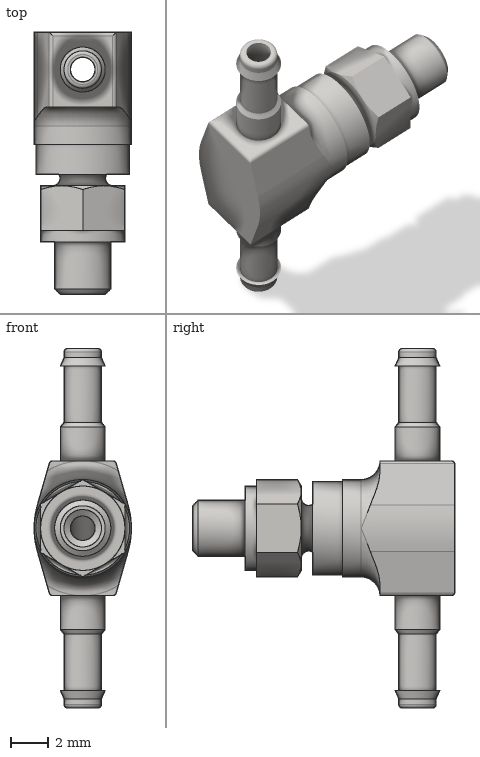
import cadquery as cq
import math


BODY_HALF_WIDTH = 2.6
BODY_HALF_HEIGHT = 3.6
BODY_BACK_Y = 2.0
BODY_FRONT_Y = -2.0
FLANK_ANGLE = math.radians(16)
FLANK_ARC_RADIUS = 4.5
BODY_EDGE_FILLET = 0.2

BLEND_RADIUS = 1.0
COLLAR_RADIUS = BODY_HALF_WIDTH
COLLAR_LENGTH = 1.0
SPIGOT_RADIUS = 2.5
SPIGOT_LENGTH = 1.6

NECK_RADIUS = 1.22
NECK_LENGTH = 0.6
NECK_ARC_RADIUS = 0.4
NUT_FLATS = 4.5
NUT_LENGTH = 2.4
NUT_CHAMFER_ANGLE = math.radians(30)
WASHER_LENGTH = 0.6
STUD_RADIUS = 1.5
STUD_END_Y = -12.0
STUD_CHAMFER = 0.3
COUNTERSINK_RADIUS = 1.0

STEM_RADIUS = 1.0
STEM_END_Z = 9.6
STEM_TIP_FILLET = 0.2
SHOULDER_RADIUS = 1.2
SHOULDER_LENGTH = 1.8
SHOULDER_TAPER_LENGTH = 0.25
BARB_RADIUS = 1.2
BARB_BASE_Z = 8.65
BARB_TOP_Z = 9.1

BORE_RADIUS = 0.65

BLEND_END_Y = BODY_FRONT_Y - BLEND_RADIUS
COLLAR_END_Y = BLEND_END_Y - COLLAR_LENGTH
SPIGOT_END_Y = COLLAR_END_Y - SPIGOT_LENGTH
NUT_BACK_Y = SPIGOT_END_Y - NECK_LENGTH
NUT_FRONT_Y = NUT_BACK_Y - NUT_LENGTH
WASHER_END_Y = NUT_FRONT_Y - WASHER_LENGTH

NUT_INRADIUS = NUT_FLATS / 2
HEXAGON_SIDES = 6
NUT_CIRCUMRADIUS = NUT_INRADIUS / math.cos(math.pi / HEXAGON_SIDES)

ARC_MIDPOINT = math.sqrt(0.5)


def prism_along_y(outline, start_y, end_y):
    """Extrude an XZ outline from start_y down to the smaller end_y."""
    return outline.extrude(start_y - end_y).translate((0, start_y, 0))


def cylinder_along_y(radius, start_y, end_y):
    return prism_along_y(cq.Workplane("XZ").circle(radius), start_y, end_y)


def revolve_about_y(profile):
    """Revolve an XY profile, drawn as (radius, y), around the swivel axis."""
    return profile.close().revolve(360, (0, 0, 0), (0, 1, 0))


def barrel_prism(start_y, end_y):
    """Prism with flat ends in Z and bulged sides: an arc running into two straight flanks."""
    arc_end_z = FLANK_ARC_RADIUS * math.sin(FLANK_ANGLE)
    arc_end_x = BODY_HALF_WIDTH - FLANK_ARC_RADIUS * (1 - math.cos(FLANK_ANGLE))
    end_half_width = arc_end_x - (BODY_HALF_HEIGHT - arc_end_z) * math.tan(FLANK_ANGLE)
    outline = (
        cq.Workplane("XZ")
        .moveTo(-end_half_width, BODY_HALF_HEIGHT)
        .lineTo(end_half_width, BODY_HALF_HEIGHT)
        .lineTo(arc_end_x, arc_end_z)
        .threePointArc((BODY_HALF_WIDTH, 0), (arc_end_x, -arc_end_z))
        .lineTo(end_half_width, -BODY_HALF_HEIGHT)
        .lineTo(-end_half_width, -BODY_HALF_HEIGHT)
        .lineTo(-arc_end_x, -arc_end_z)
        .threePointArc((-BODY_HALF_WIDTH, 0), (-arc_end_x, arc_end_z))
        .close()
    )
    return prism_along_y(outline, start_y, end_y)


def make_body():
    """Barrel block with the back and side edges of its two end faces rounded."""
    block = barrel_prism(BODY_BACK_Y, BODY_FRONT_Y)
    for face in (">Z", "<Z"):
        edges = block.faces(face).edges("|Y").add(block.faces(face).edges(">Y"))
        block = block.newObject(edges.vals()).fillet(BODY_EDGE_FILLET)
    return block


def make_blend():
    """Concave flare between body and collar, trimmed by the body outline."""
    outer_radius = COLLAR_RADIUS + BLEND_RADIUS
    flare = revolve_about_y(
        cq.Workplane("XY")
        .moveTo(0, BODY_FRONT_Y)
        .lineTo(outer_radius, BODY_FRONT_Y)
        .threePointArc(
            (outer_radius - BLEND_RADIUS * ARC_MIDPOINT, BLEND_END_Y + BLEND_RADIUS * ARC_MIDPOINT),
            (COLLAR_RADIUS, BLEND_END_Y),
        )
        .lineTo(0, BLEND_END_Y)
    )
    return flare.intersect(barrel_prism(BODY_FRONT_Y, BLEND_END_Y))


def make_neck():
    """Thin waisted neck whose concave arc meets the nut back face tangentially."""
    arc_center_radius = NECK_RADIUS + NECK_ARC_RADIUS
    waist_y = NUT_BACK_Y + NECK_ARC_RADIUS
    spigot_offset = SPIGOT_END_Y - waist_y
    start_radius = arc_center_radius - math.sqrt(NECK_ARC_RADIUS**2 - spigot_offset**2)
    return revolve_about_y(
        cq.Workplane("XY")
        .moveTo(0, SPIGOT_END_Y)
        .lineTo(start_radius, SPIGOT_END_Y)
        .threePointArc((NECK_RADIUS, waist_y), (arc_center_radius, NUT_BACK_Y))
        .lineTo(0, NUT_BACK_Y)
    )


def make_nut():
    """Hexagon with corners on +Z and -Z, its back corners trimmed by a shallow cone."""
    corner_up = cq.Workplane("XZ").transformed(rotate=(0, 0, 90))
    hexagon = corner_up.polygon(HEXAGON_SIDES, 2 * NUT_CIRCUMRADIUS)
    nut = prism_along_y(hexagon, NUT_BACK_Y, NUT_FRONT_Y)
    chamfer_drop = (NUT_CIRCUMRADIUS - NUT_INRADIUS) * math.tan(NUT_CHAMFER_ANGLE)
    cone = revolve_about_y(
        cq.Workplane("XY")
        .moveTo(0, NUT_BACK_Y)
        .lineTo(NUT_INRADIUS, NUT_BACK_Y)
        .lineTo(NUT_CIRCUMRADIUS, NUT_BACK_Y - chamfer_drop)
        .lineTo(NUT_CIRCUMRADIUS, NUT_FRONT_Y)
        .lineTo(0, NUT_FRONT_Y)
    )
    return nut.intersect(cone)


def make_stud():
    stud = cylinder_along_y(STUD_RADIUS, WASHER_END_Y, STUD_END_Y)
    return stud.faces("<Y").edges().chamfer(STUD_CHAMFER)


def make_stem():
    """Upper hose stem: shoulder, plain tube, barb and rounded tip, revolved about Z."""
    shoulder_top_z = BODY_HALF_HEIGHT + SHOULDER_LENGTH
    stem = (
        cq.Workplane("XZ")
        .moveTo(0, 0)
        .lineTo(SHOULDER_RADIUS, 0)
        .lineTo(SHOULDER_RADIUS, shoulder_top_z)
        .lineTo(STEM_RADIUS, shoulder_top_z + SHOULDER_TAPER_LENGTH)
        .lineTo(STEM_RADIUS, BARB_BASE_Z)
        .lineTo(BARB_RADIUS, BARB_BASE_Z)
        .lineTo(STEM_RADIUS, BARB_TOP_Z)
        .lineTo(STEM_RADIUS, STEM_END_Z)
        .lineTo(0, STEM_END_Z)
        .close()
        .revolve(360, (0, 0, 0), (0, 1, 0))
    )
    return stem.faces(">Z").edges().fillet(STEM_TIP_FILLET)


def make_countersink():
    """45 degree cone opening the stud bore at its mouth."""
    depth = COUNTERSINK_RADIUS - BORE_RADIUS
    return revolve_about_y(
        cq.Workplane("XY")
        .moveTo(0, STUD_END_Y)
        .lineTo(COUNTERSINK_RADIUS, STUD_END_Y)
        .lineTo(BORE_RADIUS, STUD_END_Y + depth)
        .lineTo(0, STUD_END_Y + depth)
    )


upper_stem = make_stem()
lower_stem = upper_stem.mirror("XY")
fitting = (
    make_body()
    .union(make_blend())
    .union(cylinder_along_y(COLLAR_RADIUS, BLEND_END_Y, COLLAR_END_Y))
    .union(cylinder_along_y(SPIGOT_RADIUS, COLLAR_END_Y, SPIGOT_END_Y))
    .union(make_neck())
    .union(make_nut())
    .union(cylinder_along_y(NUT_INRADIUS, NUT_FRONT_Y, WASHER_END_Y))
    .union(make_stud())
    .union(upper_stem)
    .union(lower_stem)
)

through_bore = cq.Workplane("XY").circle(BORE_RADIUS).extrude(STEM_END_Z, both=True)
stud_bore = cylinder_along_y(BORE_RADIUS, 0, STUD_END_Y)
result = fitting.cut(through_bore).cut(stud_bore).cut(make_countersink())